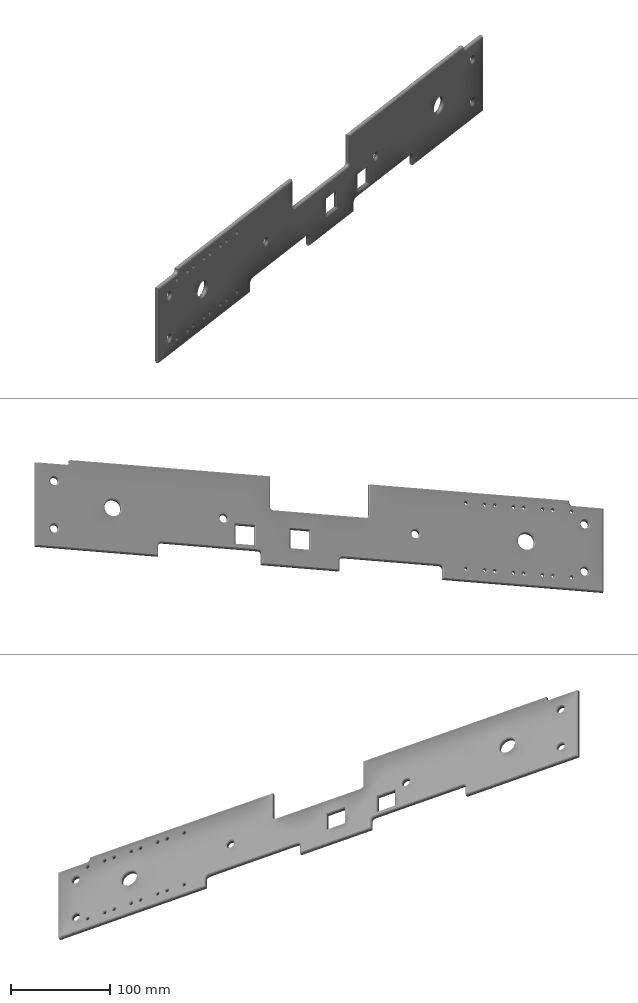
import cadquery as cq

thickness = 5.0
length = 594.0
height = 94.0
top = height / 2
bottom = -height / 2
edge_chamfer = 1.0

end_step_length = 35.5
end_step_depth = 5.5

top_notch_width = 103.5
top_notch_depth = 35.5
bottom_notch_width = 108.0
bottom_notch_depth = 14.0
bottom_notch_centers = (114.5, -75.0)
inner_radius = 3.5

fixing_hole_diameter = 8.5
end_hole_y = 277.5
end_hole_heights = (23.0, -27.0)
middle_hole_y = 100.5
middle_hole_z = -2.0

large_hole_diameter = 17.0
large_hole_y = 216.0

window_size = 20.0
window_centers = (78.0, 20.0)
window_z = -17.0

pin_hole_diameter = 3.0
module_count = 4
module_pitch = 30.0
module_hole_spacing = 19.5
modules_center_y = -208.5
pin_row_heights = (35.0, -34.5)

sides = (1, -1)


def block(y_size, z_size, y, z):
    """Box through the full plate thickness, centred at (y, z)."""
    return cq.Workplane("XY").box(thickness, y_size, z_size).translate((0, y, z))


def round_holes(diameter, centers):
    """Round cutters through the full plate thickness at the (y, z) centers."""
    return (
        cq.Workplane("YZ", origin=(-thickness / 2, 0, 0))
        .pushPoints(centers)
        .circle(diameter / 2)
        .extrude(thickness)
    )


def round_corners(plate, corners, radius):
    """Fillet the edges that cross the plate thickness at the (y, z) corners."""
    edges = []
    for y, z in corners:
        nearest = cq.selectors.NearestToPointSelector((0, y, z))
        edges += plate.edges("|X").edges(nearest).vals()
    return plate.newObject(edges).fillet(radius)


def notched_plate():
    """Plate with end steps and edge notches, inner corners rounded."""
    plate = block(length, height, 0, 0)
    inner_corners = []

    step_z = top - end_step_depth
    for side in sides:
        step_center_y = side * (length - end_step_length) / 2
        plate = plate.cut(block(end_step_length, end_step_depth, step_center_y, top - end_step_depth / 2))
        inner_corners.append((side * (length / 2 - end_step_length), step_z))

    plate = plate.cut(block(top_notch_width, top_notch_depth, 0, top - top_notch_depth / 2))
    for side in sides:
        inner_corners.append((side * top_notch_width / 2, top - top_notch_depth))

    bottom_notch_z = bottom + bottom_notch_depth / 2
    for center in bottom_notch_centers:
        plate = plate.cut(block(bottom_notch_width, bottom_notch_depth, center, bottom_notch_z))
        for side in sides:
            inner_corners.append((center + side * bottom_notch_width / 2, bottom + bottom_notch_depth))

    return round_corners(plate, inner_corners, inner_radius)


def pin_hole_centers():
    """Centers of both rows of pin holes."""
    centers = []
    for module in range(module_count):
        module_y = modules_center_y + (module - (module_count - 1) / 2) * module_pitch
        for side in sides:
            for z in pin_row_heights:
                centers.append((module_y + side * module_hole_spacing / 2, z))
    return centers


plate = notched_plate()

fixing_holes = [(side * end_hole_y, z) for side in sides for z in end_hole_heights]
fixing_holes += [(side * middle_hole_y, middle_hole_z) for side in sides]
plate = plate.cut(round_holes(fixing_hole_diameter, fixing_holes))
plate = plate.cut(round_holes(large_hole_diameter, [(side * large_hole_y, 0) for side in sides]))
plate = plate.cut(round_holes(pin_hole_diameter, pin_hole_centers()))
for center in window_centers:
    plate = plate.cut(block(window_size, window_size, center, window_z))

result = plate.faces("<X or >X").edges().chamfer(edge_chamfer).solids()